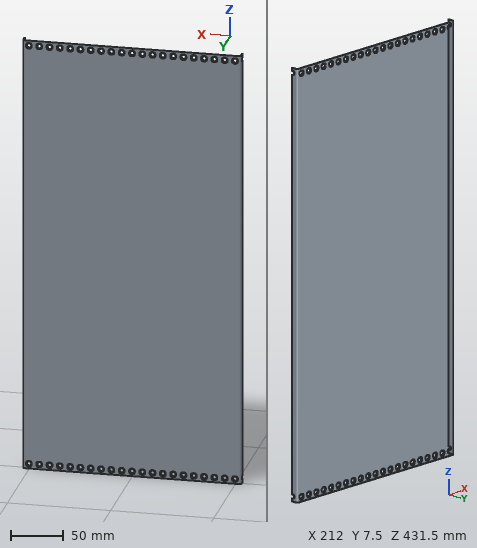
import cadquery as cq

height = 431.5
width = 212.0
depth = 7.5
back_y = depth / 2
free_edge_y = -depth / 2

thickness = 1.0
inner_radius = 1.5
outer_radius = inner_radius + thickness

holes_per_row = 21
row_length = 200.0
hole_pitch = row_length / (holes_per_row - 1)
row_z = height / 2 - hole_pitch / 2

front_hole_radius = 4.0 / 2
back_hole_radius = front_hole_radius + thickness

notch_width = 4.0
notch_depth = 3.0


def channel_block(block_width, back_face_y, corner_radius):
    """Full-height block of the panel's depth, rounded on its two back corners."""
    return (
        cq.Workplane("XY")
        .center(0, back_face_y - depth / 2)
        .rect(block_width, depth)
        .extrude(height / 2, both=True)
        .edges("|Z and >Y")
        .fillet(corner_radius)
    )


def folded_sheet():
    """Channel section with rounded folds, running the full height along Z."""
    outer = channel_block(width, back_y, outer_radius)
    inner = channel_block(width - 2 * thickness, back_y - thickness, inner_radius)
    return outer.cut(inner)


def countersunk_hole(x, z):
    """Cone through the sheet, narrow at the front face and wide at the back face."""
    return cq.Solid.makeCone(
        front_hole_radius,
        back_hole_radius,
        thickness,
        pnt=cq.Vector(x, back_y - thickness, z),
        dir=cq.Vector(0, 1, 0),
    )


def hole_rows():
    """Countersunk holes through the panel, one row near each end."""
    holes = [
        countersunk_hole(i * hole_pitch - row_length / 2, z)
        for z in (-row_z, row_z)
        for i in range(holes_per_row)
    ]
    return cq.Workplane(obj=cq.Compound.makeCompound(holes))


def flange_notches():
    """Round-ended notches cut through both flanges near each end."""
    centers = [(free_edge_y, z) for z in (-row_z, row_z)]
    return (
        cq.Workplane("YZ")
        .pushPoints(centers)
        .slot2D(2 * notch_depth, notch_width)
        .extrude(width, both=True)
    )


result = folded_sheet().cut(hole_rows()).cut(flange_notches())